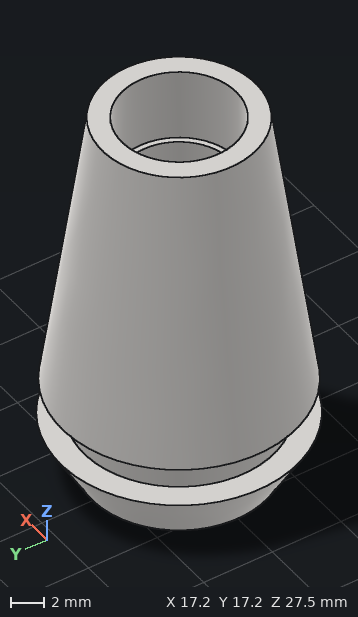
import cadquery as cq
import math

height = 27.5
flange_diameter = 17.25

taper_angle = 8.0
taper_base_diameter = 17.0

flange_angle = 30.0
flange_height = 4.0

groove_diameter = 13.8
groove_width = 2.72

upper_bore_diameter = 8.3
upper_bore_depth = 5.22
lower_bore_diameter = 7.5

groove_top = flange_height + groove_width
taper_height = height - groove_top


def cone_section(bottom_radius, top_radius, bottom, section_height):
    """Solid cone frustum on the Z axis."""
    profile = (
        cq.Workplane("XZ")
        .moveTo(0, bottom)
        .lineTo(bottom_radius, bottom)
        .lineTo(top_radius, bottom + section_height)
        .lineTo(0, bottom + section_height)
        .close()
    )
    return profile.revolve(360, (0, 0, 0), (0, 1, 0))


def make_body():
    """Reverse taper, groove core and long taper stacked along Z."""
    flange_radius = flange_diameter / 2
    flange_bottom_radius = flange_radius - flange_height * math.tan(math.radians(flange_angle))
    taper_base_radius = taper_base_diameter / 2
    taper_top_radius = taper_base_radius - taper_height * math.tan(math.radians(taper_angle))
    groove_radius = groove_diameter / 2

    flange = cone_section(flange_bottom_radius, flange_radius, 0, flange_height)
    core = cone_section(groove_radius, groove_radius, flange_height, groove_width)
    taper = cone_section(taper_base_radius, taper_top_radius, groove_top, taper_height)
    return flange.union(core).union(taper)


def cut_bore(body):
    """Through bore widened from the top face down to a flat step."""
    through_bore = cq.Workplane("XY").circle(lower_bore_diameter / 2).extrude(height)
    upper_bore = (
        cq.Workplane("XY")
        .workplane(offset=height - upper_bore_depth)
        .circle(upper_bore_diameter / 2)
        .extrude(upper_bore_depth)
    )
    return body.cut(through_bore).cut(upper_bore)


result = cut_bore(make_body())